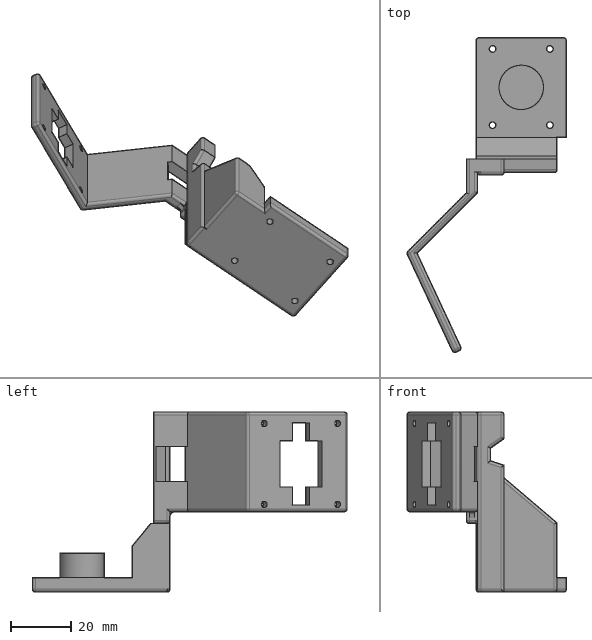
import cadquery as cq
import math

EDGE_RADIUS = 1.0
TOTAL_HEIGHT = 60.0
SELECT_MARGIN = 0.1

PLATE_WIDTH = 30.1
PLATE_DEPTH = 33.3
PLATE_THICKNESS = 4.8
PLATE_FRONT = 7.1
PLATE_CENTER_X = PLATE_WIDTH / 2
PLATE_HOLE_DIAMETER = 2.1
PLATE_HOLE_SPACING_X = 19.1
PLATE_HOLE_SPACING_Y = 25.4
PLATE_HOLE_CENTER_Y = 23.9
BOSS_DIAMETER = 14.8
BOSS_CENTER_Y = 23.8
BOSS_TOP = 13.0

WALL_WIDTH = 27.0
WALL_THICKNESS = 4.6
WALL_LOW_HEIGHT = 23.1
WALL_HIGH_HEIGHT = 38.1
GUSSET_TOP = 22.9
GUSSET_LOW = 15.3
GUSSET_FLAT = 0.9

COLUMN_LEFT_RADIUS = 1.7
COLUMN_RIGHT = 9.3
COLUMN_DEPTH = 5.5
NOTCH_FLOOR_X = 4.8
NOTCH_FLOOR_LOW = 43.8
NOTCH_FLOOR_HIGH = 48.0
NOTCH_MOUTH_LOW = 42.3
NOTCH_MOUTH_HIGH = 51.1

ARM_BOTTOM = 26.8
LEG_LEFT = -3.3
LEG_RIGHT = 0.5
TAB_COVE_RADIUS = 1.7
LEG_FRONT = -11.3
ELBOW_X = -23.2
SERVO_ANGLE = 25.0
SERVO_PLATE_THICKNESS = 3.1
SERVO_PLATE_LENGTH = 37.0

SERVO_CENTER_FROM_END = 17.3
SERVO_CENTER_Z = 42.7
SERVO_OPENING_SIZE = 15.3
SERVO_SLOT_WIDTH = 6.3
SERVO_SLOT_HEIGHT = 27.3
SERVO_HOLE_SPACING = 27.0
SERVO_HOLE_DIAMETER = 2.0

WINDOW_BOTTOM = 36.9
WINDOW_TOP = 48.5
WINDOW_BACK = -0.7
WINDOW_LIP = 0.8


def box(x0, x1, y0, y1, z0, z1):
    """Box given by its limits along each axis."""
    return cq.Workplane("XY").box(x1 - x0, y1 - y0, z1 - z0, centered=False).translate((x0, y0, z0))


def prism_y(points, y0, y1):
    """Extrude an XZ outline from y0 to y1."""
    return cq.Workplane("XZ", origin=(0, y1, 0)).polyline(points).close().extrude(y1 - y0)


def prism_z(points, z0, z1):
    """Extrude an XY outline from z0 to z1."""
    return cq.Workplane("XY", origin=(0, 0, z0)).polyline(points).close().extrude(z1 - z0)


def make_base():
    plate_back = PLATE_FRONT + PLATE_DEPTH
    plate = box(0, PLATE_WIDTH, PLATE_FRONT, plate_back, 0, PLATE_THICKNESS)
    plate = plate.edges("|Z and >Y").fillet(EDGE_RADIUS)

    gusset_profile = [(0, 0), (PLATE_FRONT, 0), (PLATE_FRONT, GUSSET_LOW),
                      (GUSSET_FLAT, GUSSET_TOP), (0, GUSSET_TOP)]
    gusset = cq.Workplane("YZ").polyline(gusset_profile).close().extrude(WALL_WIDTH)

    inside_column = COLUMN_RIGHT - 2 * EDGE_RADIUS
    slope = (WALL_HIGH_HEIGHT - WALL_LOW_HEIGHT) / (WALL_WIDTH - COLUMN_RIGHT)
    slope_end = WALL_LOW_HEIGHT + slope * (WALL_WIDTH - inside_column)
    wall = prism_y([(0, 0), (WALL_WIDTH, 0), (WALL_WIDTH, WALL_LOW_HEIGHT), (inside_column, slope_end),
                    (inside_column, GUSSET_TOP), (0, GUSSET_TOP)], -WALL_THICKNESS, 0)
    base = plate.union(gusset).union(wall)
    front_right = cq.selectors.BoxSelector(
        (inside_column + EDGE_RADIUS, -WALL_THICKNESS - SELECT_MARGIN, EDGE_RADIUS),
        (WALL_WIDTH + SELECT_MARGIN, -WALL_THICKNESS + SELECT_MARGIN, TOTAL_HEIGHT))
    base = base.edges(front_right).fillet(EDGE_RADIUS)
    base = base.faces("<Z").edges().fillet(EDGE_RADIUS)

    boss = (cq.Workplane("XY", origin=(PLATE_CENTER_X, BOSS_CENTER_Y, EDGE_RADIUS))
            .circle(BOSS_DIAMETER / 2).extrude(BOSS_TOP - EDGE_RADIUS))
    holes = (cq.Workplane("XY").center(PLATE_CENTER_X, PLATE_HOLE_CENTER_Y)
             .rect(PLATE_HOLE_SPACING_X, PLATE_HOLE_SPACING_Y, forConstruction=True).vertices()
             .circle(PLATE_HOLE_DIAMETER / 2).extrude(PLATE_THICKNESS))
    return base.union(boss).cut(holes)


def make_column():
    column = prism_y([(0, 0), (COLUMN_RIGHT, 0),
                      (COLUMN_RIGHT, NOTCH_MOUTH_LOW), (NOTCH_FLOOR_X, NOTCH_FLOOR_LOW),
                      (NOTCH_FLOOR_X, NOTCH_FLOOR_HIGH), (COLUMN_RIGHT, NOTCH_MOUTH_HIGH),
                      (COLUMN_RIGHT, TOTAL_HEIGHT), (0, TOTAL_HEIGHT)], -COLUMN_DEPTH, 0)
    column = column.edges("|Z and <X and <Y").fillet(COLUMN_LEFT_RADIUS)
    top_right = column.edges("|Y and >Z").edges(">X")
    front_edges = column.faces("<Y").edges("not <X")
    column = front_edges.add(top_right).fillet(EDGE_RADIUS)

    ridge = box(0, LEG_RIGHT, -COLUMN_DEPTH, -WALL_THICKNESS, EDGE_RADIUS, GUSSET_TOP + EDGE_RADIUS)
    return column.union(ridge)


def make_tab():
    """Block that carries the leg down to the top of the base."""
    tab = box(LEG_LEFT, LEG_RIGHT, -COLUMN_DEPTH, 0, GUSSET_TOP, WINDOW_BOTTOM)
    tab = tab.edges("(<X and <Y) or (<Z and <X) or (<Z and <Y)").fillet(EDGE_RADIUS)

    cove_front = -COLUMN_DEPTH - TAB_COVE_RADIUS
    cove_bottom = ARM_BOTTOM - TAB_COVE_RADIUS
    cove = box(LEG_LEFT + EDGE_RADIUS, LEG_RIGHT - EDGE_RADIUS, cove_front, -COLUMN_DEPTH,
               cove_bottom, ARM_BOTTOM)
    hollow = (cq.Workplane("YZ", origin=(LEG_LEFT, cove_front, cove_bottom))
              .circle(TAB_COVE_RADIUS).extrude(LEG_RIGHT - LEG_LEFT))
    return tab.union(cove.cut(hollow))


def make_arm():
    angle = math.radians(SERVO_ANGLE)
    along = (math.sin(angle), -math.cos(angle))
    across = (math.cos(angle), math.sin(angle))
    elbow = (ELBOW_X, LEG_FRONT - (LEG_LEFT - ELBOW_X))
    outer_end = (elbow[0] + SERVO_PLATE_LENGTH * along[0], elbow[1] + SERVO_PLATE_LENGTH * along[1])
    inner_end = (outer_end[0] + SERVO_PLATE_THICKNESS * across[0],
                 outer_end[1] + SERVO_PLATE_THICKNESS * across[1])
    link_offset = LEG_RIGHT - LEG_FRONT
    back = (link_offset - (inner_end[0] - inner_end[1])) / (along[1] - along[0])
    inner_elbow = (inner_end[0] - back * along[0], inner_end[1] - back * along[1])

    arm = prism_z([(LEG_LEFT, 0), (LEG_LEFT, LEG_FRONT), elbow, outer_end, inner_end, inner_elbow,
                   (LEG_RIGHT, LEG_FRONT), (LEG_RIGHT, 0)], ARM_BOTTOM, TOTAL_HEIGHT)
    rounded = arm.edges("<Z or >Z").edges("not >Y")
    rounded = rounded.add(arm.edges("|Z").edges("<X")).add(arm.faces("<Y").edges("|Z"))
    arm = rounded.fillet(EDGE_RADIUS)

    corner = box(LEG_LEFT + EDGE_RADIUS, LEG_RIGHT + EDGE_RADIUS, EDGE_RADIUS - COLUMN_DEPTH, 0,
                 WINDOW_TOP, TOTAL_HEIGHT)
    center = (outer_end[0] - SERVO_CENTER_FROM_END * along[0],
              outer_end[1] - SERVO_CENTER_FROM_END * along[1], SERVO_CENTER_Z)
    return arm.union(corner).cut(servo_cutout(center, along, across))


def servo_cutout(center, along, across):
    plane = cq.Plane(origin=center, xDir=(along[0], along[1], 0), normal=(across[0], across[1], 0))
    depth = 2 * SERVO_PLATE_THICKNESS
    face = cq.Workplane(plane)
    opening = face.rect(SERVO_OPENING_SIZE, SERVO_OPENING_SIZE).extrude(depth, both=True)
    slot = face.rect(SERVO_SLOT_WIDTH, SERVO_SLOT_HEIGHT).extrude(depth, both=True)
    holes = (face.rect(SERVO_HOLE_SPACING, SERVO_HOLE_SPACING, forConstruction=True).vertices()
             .circle(SERVO_HOLE_DIAMETER / 2).extrude(depth, both=True))
    return opening.union(slot).union(holes)


def leg_window():
    """Window through the leg; both end walls run at 45 degrees, square to the link."""
    reach = LEG_RIGHT - LEG_LEFT + EDGE_RADIUS / 2
    lip = (LEG_LEFT + WINDOW_LIP, LEG_FRONT + WINDOW_LIP)
    return prism_z([(LEG_LEFT, WINDOW_BACK), (LEG_LEFT + reach, WINDOW_BACK - reach),
                    (lip[0] + reach, lip[1] - reach), lip, (LEG_LEFT, LEG_FRONT)],
                   WINDOW_BOTTOM, WINDOW_TOP)


cantilever = make_tab().union(make_arm()).cut(leg_window())
result = make_base().union(make_column()).union(cantilever)